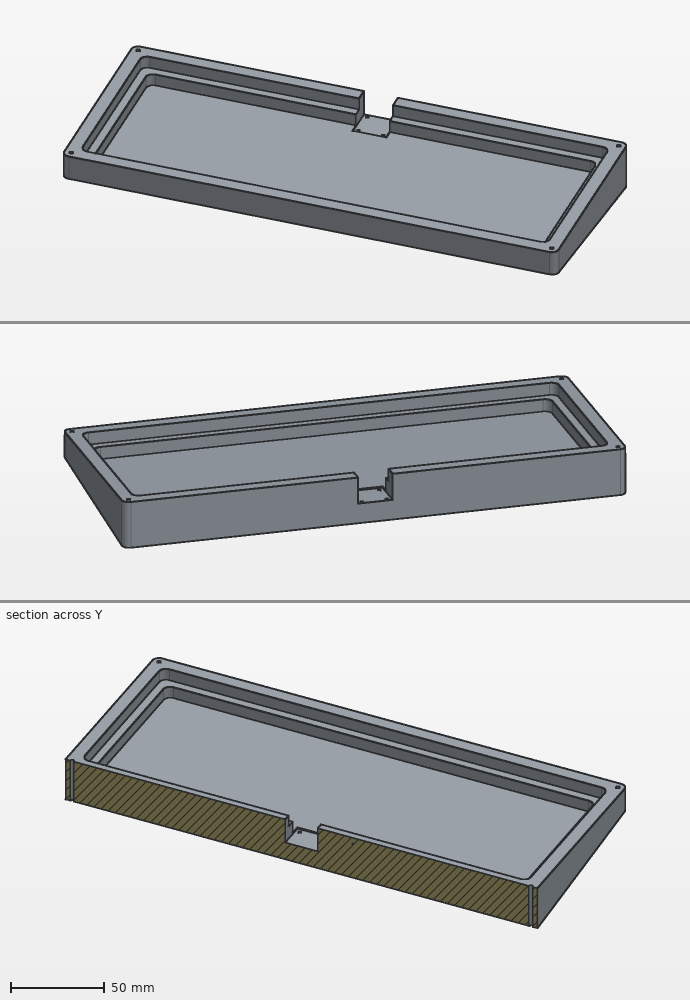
import cadquery as cq
import math

length = 281.8
width = 113.8
back_height = 26.5
underside_angle = 6.0
front_height = back_height - width * math.tan(math.radians(underside_angle))

rim_hole_diameter = 2.0
corner_radius = 2 * rim_hole_diameter
rim_width = 2 * corner_radius
edge_chamfer = 0.2

ledge_width = 5.0
pocket_corner_radius = corner_radius
ledge_depth = 7.0
floor_depth = 14.0
lower_inset = rim_width + ledge_width

notch_width = 19.2
notch_reach = 18.5
notch_depth = 15.0
seat_hole_diameter = 1.6
seat_hole_spacing = 14.0
seat_hole_depth = 4.0
seat_hole_margin = 2.5

back = width / 2
ledge_height = back_height - ledge_depth
seat_height = back_height - notch_depth
tolerance = 0.03


def wedge_body():
    """Block with a flat top, a sloping underside and rounded corners."""
    profile = [
        (-back, back_height),
        (back, back_height),
        (back, 0),
        (-back, back_height - front_height),
    ]
    block = cq.Workplane("YZ").polyline(profile).close().extrude(length / 2, both=True)
    block = block.edges("|Z").fillet(corner_radius)
    return block.faces("<Z").edges().chamfer(edge_chamfer)


def pocket(inset, depth):
    """Rounded rectangular cut, inset from the outer sides and open at the rim."""
    return (
        cq.Workplane("XY", origin=(0, 0, back_height - depth))
        .rect(length - 2 * inset, width - 2 * inset)
        .extrude(depth)
        .edges("|Z")
        .fillet(pocket_corner_radius)
    )


def back_notch():
    """Opening through the back wall that also sinks a seat into the floor."""
    return (
        cq.Workplane("XY", origin=(0, back - notch_reach / 2, seat_height))
        .rect(notch_width, notch_reach)
        .extrude(notch_depth)
    )


def edges_in_box(half_x, y_range, z_range):
    """Selector for the edges centered in a box that is symmetric about X = 0."""
    return cq.selectors.BoxSelector(
        (-half_x - tolerance, y_range[0] - tolerance, z_range[0] - tolerance),
        (half_x + tolerance, y_range[1] + tolerance, z_range[1] + tolerance),
    )


def break_edges(case):
    """Chamfer the rim, the inner edge of the ledge and the back of the notch."""
    lower_half_x = length / 2 - lower_inset
    lower_half_y = width / 2 - lower_inset
    rim = case.faces(">Z").edges()
    ledge = case.edges(
        edges_in_box(lower_half_x, (-lower_half_y, lower_half_y), (ledge_height, ledge_height))
    )
    notch = case.edges(edges_in_box(notch_width / 2, (back, back), (seat_height, ledge_height)))
    return rim.add(ledge).add(notch).chamfer(edge_chamfer)


def rim_holes():
    """Through holes concentric with the four outer corners."""
    return (
        cq.Workplane("XY")
        .rect(length - 2 * corner_radius, width - 2 * corner_radius, forConstruction=True)
        .vertices()
        .circle(rim_hole_diameter / 2)
        .extrude(back_height)
    )


def seat_holes():
    """Four blind holes in the seat of the notch."""
    center_y = back - notch_reach + seat_hole_margin + seat_hole_spacing / 2
    return (
        cq.Workplane("XY", origin=(0, center_y, seat_height))
        .rect(seat_hole_spacing, seat_hole_spacing, forConstruction=True)
        .vertices()
        .circle(seat_hole_diameter / 2)
        .extrude(-seat_hole_depth)
    )


case_body = (
    wedge_body()
    .cut(pocket(rim_width, ledge_depth))
    .cut(pocket(lower_inset, floor_depth))
    .cut(back_notch())
)
result = break_edges(case_body).cut(rim_holes()).cut(seat_holes())